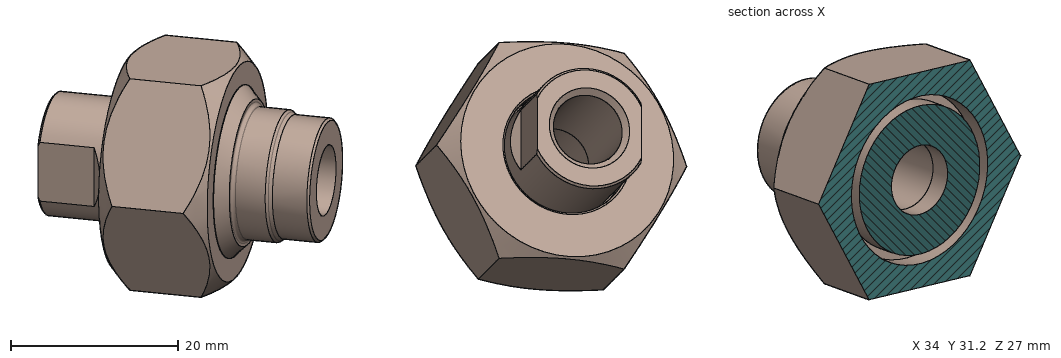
import cadquery as cq
import math

total_length = 34.0
bore_radius = 8.57 / 2
end_chamfer = 0.27

nut_start = 9.5
nut_width = 13.5
nut_end = nut_start + nut_width
nut_across_flats = 27.0
nut_across_corners = nut_across_flats / math.cos(math.pi / 6)
nut_face_radius = 26.52 / 2
nut_lip_thickness = 2.72
nut_lip_end = nut_start + nut_lip_thickness
nut_lip_radius = 15.5 / 2
nut_lip_mouth_radius = 16.0 / 2
nut_lip_chamfer = nut_lip_mouth_radius - nut_lip_radius
nut_thread_radius = 20.9 / 2

spigot_radius = 15.0 / 2
collar_radius = 18.63 / 2
collar_thickness = 2.72
collar_end = nut_lip_end + collar_thickness
collar_fillet = nut_lip_radius - spigot_radius
mouth_radius = 10.0 / 2
mouth_chamfer = mouth_radius - bore_radius
flat_width = 13.0
flat_length = 7.0

shoulder_radius = 17.78 / 2
shoulder_end = 24.48
cone_start = shoulder_end - (nut_thread_radius - shoulder_radius)
land_radius = 16.0 / 2
land_fillet = 0.5
land_end = 28.7
step_radius = 15.5 / 2
step_end = 29.0
neck_radius = 15.0 / 2
neck_start = 29.45


def revolve_about_x(profile):
    """Turn a closed profile, drawn as (station, radius), about the X axis."""
    return profile.close().revolve(360, (0, 0, 0), (1, 0, 0))


def make_nut():
    hexagon = (
        cq.Workplane("YZ", origin=(nut_start, 0, 0))
        .polygon(6, nut_across_corners)
        .extrude(nut_width)
    )
    corner_radius = nut_across_corners / 2
    corner_trim = corner_radius - nut_face_radius
    envelope = revolve_about_x(
        cq.Workplane("XY")
        .moveTo(nut_start, 0)
        .lineTo(nut_start, nut_face_radius)
        .lineTo(nut_start + corner_trim, corner_radius)
        .lineTo(nut_end - corner_trim, corner_radius)
        .lineTo(nut_end, nut_face_radius)
        .lineTo(nut_end, 0)
    )
    bore = revolve_about_x(
        cq.Workplane("XY")
        .moveTo(nut_start, 0)
        .lineTo(nut_start, nut_lip_mouth_radius)
        .lineTo(nut_start + nut_lip_chamfer, nut_lip_radius)
        .lineTo(nut_lip_end, nut_lip_radius)
        .lineTo(nut_lip_end, nut_thread_radius)
        .lineTo(nut_end, nut_thread_radius)
        .lineTo(nut_end, 0)
    )
    return hexagon.intersect(envelope).cut(bore)


def make_flat_cutter():
    """Cutter for the +Y wrench flat, ending in a 45 degree run-out."""
    flat_y = flat_width / 2
    runout = collar_radius - flat_y
    return (
        cq.Workplane("XY")
        .moveTo(0, flat_y)
        .lineTo(flat_length, flat_y)
        .lineTo(flat_length + runout, collar_radius)
        .lineTo(0, collar_radius)
        .close()
        .extrude(spigot_radius, both=True)
    )


def make_tailpiece():
    turned = revolve_about_x(
        cq.Workplane("XY")
        .moveTo(0, mouth_radius)
        .lineTo(0, spigot_radius - end_chamfer)
        .lineTo(end_chamfer, spigot_radius)
        .lineTo(nut_lip_end - collar_fillet, spigot_radius)
        .radiusArc((nut_lip_end, spigot_radius + collar_fillet), -collar_fillet)
        .lineTo(nut_lip_end, collar_radius)
        .lineTo(collar_end, collar_radius)
        .lineTo(collar_end, bore_radius)
        .lineTo(mouth_chamfer, bore_radius)
    )
    flat_cutter = make_flat_cutter()
    return turned.cut(flat_cutter).cut(flat_cutter.mirror("XZ"))


def make_threaded_body():
    return revolve_about_x(
        cq.Workplane("XY")
        .moveTo(collar_end, bore_radius)
        .lineTo(collar_end, nut_thread_radius)
        .lineTo(cone_start, nut_thread_radius)
        .lineTo(shoulder_end, shoulder_radius)
        .lineTo(shoulder_end, land_radius + land_fillet)
        .radiusArc((shoulder_end + land_fillet, land_radius), -land_fillet)
        .lineTo(land_end, land_radius)
        .lineTo(step_end, step_radius)
        .lineTo(neck_start, neck_radius)
        .lineTo(total_length - end_chamfer, neck_radius)
        .lineTo(total_length, neck_radius - end_chamfer)
        .lineTo(total_length, bore_radius)
    )


nut = make_nut()
tailpiece = make_tailpiece()
threaded_body = make_threaded_body()

result = cq.Compound.makeCompound([nut.val(), tailpiece.val(), threaded_body.val()])